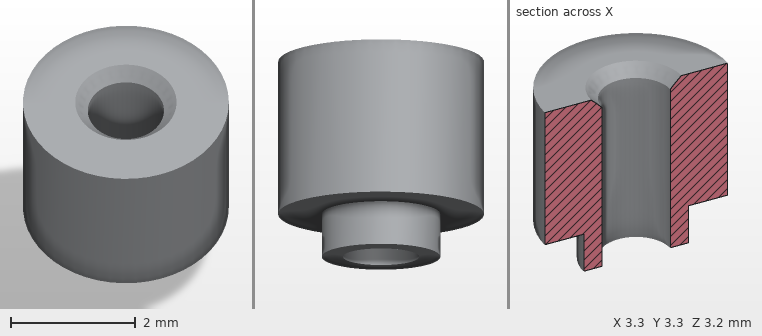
import cadquery as cq

body_diameter = 3.3
spigot_diameter = 1.9
bore_diameter = 1.22
total_height = 3.2
spigot_height = 0.7
bore_chamfer = 0.2

body_height = total_height - spigot_height

body = cq.Workplane("XY").circle(body_diameter / 2).extrude(body_height)

spigot = cq.Workplane("XY").circle(spigot_diameter / 2).extrude(-spigot_height)

spacer = body.union(spigot).faces(">Z").workplane().hole(bore_diameter)

bore_mouth = cq.selectors.RadiusNthSelector(0)
result = spacer.faces(">Z").edges(bore_mouth).chamfer(bore_chamfer)